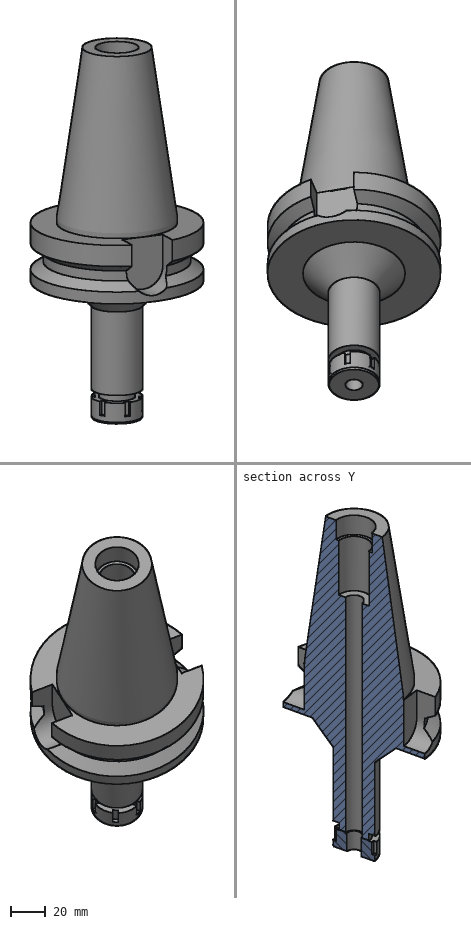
import cadquery as cq


TAPER_RATIO = 7 / 24
GAUGE_DIAMETER = 69.9
OVERALL_LENGTH = 221.8
TAPER_LENGTH = 101.8
NOSE_LENGTH = OVERALL_LENGTH - TAPER_LENGTH

FLANGE_DIAMETER = 100.0
FLANGE_GAP = 3.0
FLANGE_HEIGHT = 35.0
GROOVE_DIAMETER = 85.5
UPPER_RIM_HEIGHT = 12.6
GROOVE_WALL_HEIGHT = 4.7
GROOVE_FLOOR_HEIGHT = 6.0

DRIVE_SLOT_WIDTH = 25.7
DRIVE_SLOT_LENGTH = 31.3
DRIVE_SLOT_FLOOR = 35.3

STEM_DIAMETER = 30.0
CONE_DIAMETER = 59.0
CONE_HEIGHT = (CONE_DIAMETER - STEM_DIAMETER) / 2
NECK_DIAMETER = 21.0
NECK_LENGTH = 4.7

DRAWBAR_BORE_DIAMETER = 25.0
DRAWBAR_BORE_DEPTH = 13.0
THREAD_BORE_DIAMETER = 21.0
THREAD_BORE_DEPTH = 50.0
THROUGH_BORE_DIAMETER = 11.5

NUT_DIAMETER = STEM_DIAMETER
NUT_HEIGHT = 12.6
NUT_BORE_DIAMETER = 10.0
NUT_CHAMFER_HEIGHT = 1.0
NUT_CHAMFER_WIDTH = 0.7
WRENCH_SLOT_COUNT = 6
WRENCH_SLOT_WIDTH = 3.3
WRENCH_SLOT_HEIGHT = 8.2
WRENCH_SLOT_DEPTH = 2.2

FLANGE_TOP = -FLANGE_GAP
FLANGE_BOTTOM = FLANGE_TOP - FLANGE_HEIGHT
NUT_BOTTOM = -NOSE_LENGTH
NUT_TOP = NUT_BOTTOM + NUT_HEIGHT
STEM_BOTTOM = NUT_TOP + NECK_LENGTH


def revolved_holder():
    """Shank, grooved flange, cone, stem and neck as one turned solid."""
    gauge_radius = GAUGE_DIAMETER / 2
    end_radius = gauge_radius - TAPER_LENGTH * TAPER_RATIO / 2
    flange_radius = FLANGE_DIAMETER / 2
    groove_radius = GROOVE_DIAMETER / 2
    stem_radius = STEM_DIAMETER / 2
    neck_radius = NECK_DIAMETER / 2
    rim_bottom = FLANGE_TOP - UPPER_RIM_HEIGHT
    groove_top = rim_bottom - GROOVE_WALL_HEIGHT
    groove_bottom = groove_top - GROOVE_FLOOR_HEIGHT
    lower_rim_top = groove_bottom - GROOVE_WALL_HEIGHT
    outline = [
        (0, TAPER_LENGTH),
        (end_radius, TAPER_LENGTH),
        (gauge_radius, 0),
        (gauge_radius, FLANGE_TOP),
        (flange_radius, FLANGE_TOP),
        (flange_radius, rim_bottom),
        (groove_radius, groove_top),
        (groove_radius, groove_bottom),
        (flange_radius, lower_rim_top),
        (flange_radius, FLANGE_BOTTOM),
        (CONE_DIAMETER / 2, FLANGE_BOTTOM),
        (stem_radius, FLANGE_BOTTOM - CONE_HEIGHT),
        (stem_radius, STEM_BOTTOM),
        (neck_radius, STEM_BOTTOM),
        (neck_radius, NUT_TOP),
        (0, NUT_TOP),
    ]
    return cq.Workplane("XZ").polyline(outline).close().revolve(360, (0, 0), (0, 1))


def drive_slot(side):
    """Round-ended cutter for the drive slot on the +X (1) or -X (-1) side."""
    half_width = DRIVE_SLOT_WIDTH / 2
    slot_end = FLANGE_TOP - DRIVE_SLOT_LENGTH
    arc_center = slot_end + half_width
    return (
        cq.Workplane("YZ", origin=(side * DRIVE_SLOT_FLOOR, 0, 0))
        .moveTo(-half_width, FLANGE_TOP)
        .lineTo(-half_width, arc_center)
        .threePointArc((0, slot_end), (half_width, arc_center))
        .lineTo(half_width, FLANGE_TOP)
        .close()
        .extrude(side * FLANGE_DIAMETER / 2)
    )


def bore(diameter, depth):
    """Cylinder cutting down from the shank end."""
    return cq.Workplane("XY", origin=(0, 0, TAPER_LENGTH)).circle(diameter / 2).extrude(-depth)


def make_holder():
    body = revolved_holder()
    for side in (-1, 1):
        body = body.cut(drive_slot(side))
    body = body.cut(bore(DRAWBAR_BORE_DIAMETER, DRAWBAR_BORE_DEPTH))
    body = body.cut(bore(THREAD_BORE_DIAMETER, THREAD_BORE_DEPTH))
    return body.cut(bore(THROUGH_BORE_DIAMETER, OVERALL_LENGTH))


def wrench_slot(angle):
    """Cutter for one slot in the nut rim, open at the nut top."""
    floor_radius = NUT_DIAMETER / 2 - WRENCH_SLOT_DEPTH
    radial_length = 2 * WRENCH_SLOT_DEPTH
    return (
        cq.Workplane("XY", origin=(0, 0, NUT_TOP - WRENCH_SLOT_HEIGHT))
        .center(floor_radius + radial_length / 2, 0)
        .rect(radial_length, WRENCH_SLOT_WIDTH)
        .extrude(WRENCH_SLOT_HEIGHT)
        .rotate((0, 0, 0), (0, 0, 1), angle)
    )


def make_nut():
    body = (
        cq.Workplane("XY", origin=(0, 0, NUT_BOTTOM))
        .circle(NUT_DIAMETER / 2)
        .extrude(NUT_HEIGHT)
        .faces("<Z")
        .chamfer(NUT_CHAMFER_HEIGHT, NUT_CHAMFER_WIDTH)
        .faces(">Z")
        .workplane()
        .hole(NUT_BORE_DIAMETER)
    )
    for index in range(WRENCH_SLOT_COUNT):
        body = body.cut(wrench_slot(index * 360 / WRENCH_SLOT_COUNT))
    return body


holder = make_holder()
nut = make_nut()
result = cq.Compound.makeCompound([holder.val(), nut.val()])